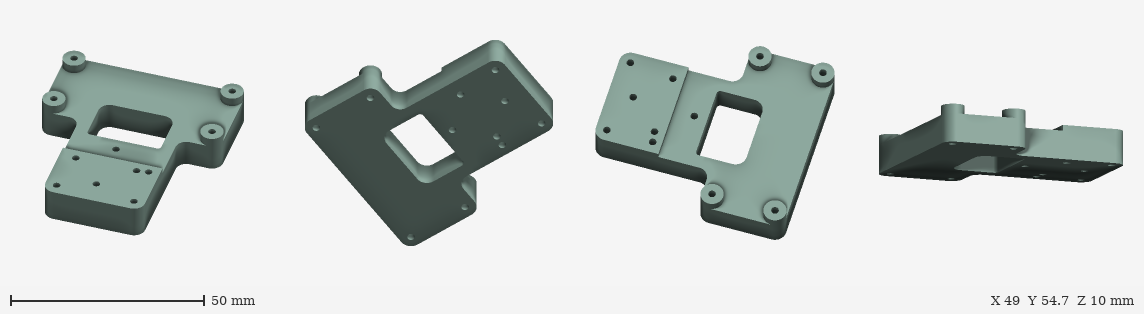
import cadquery as cq

total_length = 54.7
head_width = 49.0
head_length = 23.05
stem_width = 27.1
corner_radius = 3.0
inner_corner_radius = 2.85

plate_height = 7.5
pad_height = 9.0
boss_height = 10.0

pad_length = 17.8
hole_diameter = 1.95
selection_margin = 0.55

window_width = 20.0
window_length = 12.95
window_front = 26.7
window_back_radius = 3.0
window_front_radius = 1.0

circle_center_x = -0.9
circle_center_y = 14.9
circle_radius = 8.25

mount_x = 10.5
mount_front_y = 2.95
mount_back_y = 15.3

head_front = total_length - head_length
boss_x = head_width / 2 - corner_radius
boss_back_y = total_length - corner_radius
boss_front_y = head_front + corner_radius
boss_points = [(x, y) for x in (-boss_x, boss_x) for y in (boss_front_y, boss_back_y)]


def block(width, front, length, height):
    """Box centred in X, starting at Y = front and standing on Z = 0."""
    return (
        cq.Workplane("XY")
        .box(width, length, height, centered=(True, False, False))
        .translate((0, front, 0))
    )


def make_plate():
    head = block(head_width, head_front, head_length, plate_height)
    head = head.edges("|Z").fillet(corner_radius)
    stem = block(stem_width, 0, total_length - corner_radius, plate_height)
    plate = head.union(stem)
    inner_corners = cq.selectors.BoxSelector(
        (-stem_width / 2 - selection_margin, head_front - selection_margin, -selection_margin),
        (stem_width / 2 + selection_margin, head_front + selection_margin, plate_height + selection_margin),
    )
    plate = plate.edges("|Z").edges(inner_corners).fillet(inner_corner_radius)
    pad = block(stem_width, 0, pad_length, pad_height)
    return plate.union(pad).faces("<Y").edges("|Z").fillet(corner_radius)


def make_bosses():
    return cq.Workplane("XY").pushPoints(boss_points).circle(corner_radius).extrude(boss_height)


def make_window():
    window = block(window_width, window_front, window_length, boss_height)
    window = window.faces(">Y").edges("|Z").fillet(window_back_radius)
    return window.faces("<Y").edges("|Z").fillet(window_front_radius)


def make_holes():
    circle_points = [
        (circle_center_x + dx * circle_radius, circle_center_y + dy * circle_radius)
        for dx, dy in ((1, 0), (0, 1), (-1, 0), (0, -1))
    ]
    mount_points = [
        (-mount_x, mount_front_y),
        (mount_x, mount_front_y),
        (mount_x, mount_back_y),
    ]
    return (
        cq.Workplane("XY")
        .pushPoints(boss_points + circle_points + mount_points)
        .circle(hole_diameter / 2)
        .extrude(boss_height)
    )


result = make_plate().union(make_bosses()).cut(make_window()).cut(make_holes())